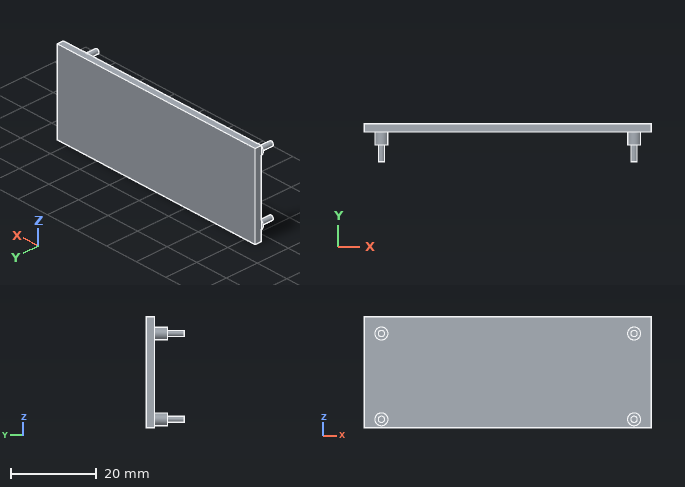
import cadquery as cq

plate_length = 67.0
plate_height = 26.0
plate_thickness = 2.0

boss_diameter = 3.0
boss_length = 3.0
pin_diameter = 1.5
overall_depth = 9.0
stud_length = overall_depth - plate_thickness

side_margin = 4.0
bottom_margin = 2.0
stud_spacing_z = 20.0
stud_columns = (side_margin, plate_length - side_margin)
stud_rows = (bottom_margin, bottom_margin + stud_spacing_z)


def make_stud(x, z):
    """Stepped stud rising from the front face of the plate toward -Y."""
    face = cq.Workplane("XZ", origin=(x, 0, z))
    boss = face.circle(boss_diameter / 2).extrude(boss_length)
    pin = face.circle(pin_diameter / 2).extrude(stud_length)
    return boss.union(pin)


result = cq.Workplane("XY").box(plate_length, plate_thickness, plate_height, centered=False)
for stud_x in stud_columns:
    for stud_z in stud_rows:
        result = result.union(make_stud(stud_x, stud_z))